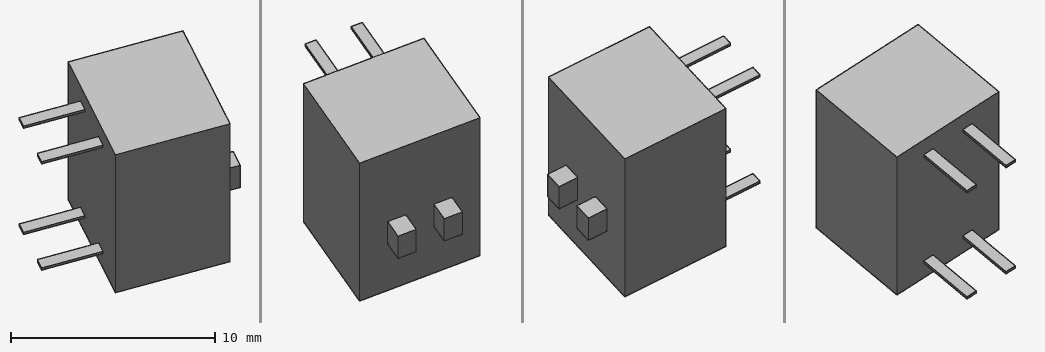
import cadquery as cq

body_width = 6.64
body_depth = 5.99
body_height = 9.9

pole_pitch = 2.54
slider_width = 1.0
slider_length = 1.1
slider_height = 1.6

pin_row_pitch = 7.62
pin_width = 0.61
pin_thickness = 0.16
pin_length = 3.2

front_y = -body_depth / 2
back_y = body_depth / 2


def make_sliders():
    return (
        cq.Workplane("XY")
        .rarray(pole_pitch, 0.1, 2, 1)
        .box(slider_width, slider_length, slider_height)
        .translate((0, back_y + slider_length / 2, -slider_height / 2))
    )


def make_pins():
    return (
        cq.Workplane("XZ", origin=(0, front_y, 0))
        .rarray(pole_pitch, pin_row_pitch, 2, 2)
        .rect(pin_width, pin_thickness)
        .extrude(pin_length)
    )


body = cq.Workplane("XY").box(body_width, body_depth, body_height)
result = body.union(make_sliders()).union(make_pins())